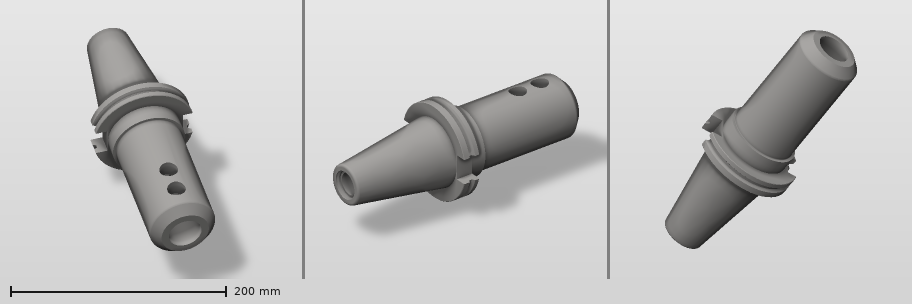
import cadquery as cq

total_length = 254.0
gauge_position = 101.9
flange_start = 103.0
flange_end = 120.7
collar_end = 136.5

gauge_diameter = 69.9
taper_ratio = 7 / 24
small_diameter = gauge_diameter - gauge_position * taper_ratio
large_diameter = small_diameter + flange_start * taper_ratio
flange_diameter = 97.3
collar_diameter = 69.9
body_diameter = 63.5

small_end_fillet = 2.5
flange_chamfer = 0.5
collar_root_fillet = 0.8
nose_chamfer = 9.0
nose_blend_radius = 2.5
edge_pick_margin = 0.3

groove_center = 112.5
groove_floor_width = 2.8
groove_mouth_width = 6.4
groove_depth = 3.0

slot_width = 26.0
slot_floor_front = 35.3
slot_floor_back = 37.5

through_diameter = 21.8
throat_diameter = 26.2
throat_depth = 4.5
recess_diameter = 28.7
recess_depth = 1.5
tool_bore_diameter = 31.8
tool_bore_depth = 81.3

screw_diameter = 17.3
screw_positions = (200.2, 225.5)


def cylinder(diameter, start, end):
    """Solid cylinder on the X axis between two X positions."""
    return cq.Workplane("YZ", origin=(start, 0, 0)).circle(diameter / 2).extrude(end - start)


def make_taper():
    """Conical shank with a rounded small end, reaching the flange."""
    cone = (
        cq.Workplane("XY")
        .polyline([
            (0, 0),
            (0, small_diameter / 2),
            (flange_start, large_diameter / 2),
            (flange_start, 0),
        ])
        .close()
        .revolve(360, (0, 0, 0), (1, 0, 0))
    )
    return cone.faces("<X").edges().fillet(small_end_fillet)


def make_flange():
    """Gripper flange with a V-groove and two drive slots of unequal depth."""
    radius = flange_diameter / 2
    flange = cylinder(flange_diameter, flange_start, flange_end).edges().chamfer(flange_chamfer)
    groove = (
        cq.Workplane("XY")
        .polyline([
            (groove_center - groove_mouth_width / 2, radius),
            (groove_center - groove_floor_width / 2, radius - groove_depth),
            (groove_center + groove_floor_width / 2, radius - groove_depth),
            (groove_center + groove_mouth_width / 2, radius),
        ])
        .close()
        .revolve(360, (0, 0, 0), (1, 0, 0))
    )
    flange = flange.cut(groove)
    for side, floor in ((-1, slot_floor_front), (1, slot_floor_back)):
        slot = cq.Workplane("XY").box(flange_end - flange_start, radius, slot_width)
        slot_center = ((flange_start + flange_end) / 2, side * (floor + radius / 2), 0)
        flange = flange.cut(slot.translate(slot_center))
    return flange


def make_body():
    """Cylindrical tool holder body with a blended nose chamfer."""
    body = cylinder(body_diameter, flange_end, total_length).faces(">X").edges().chamfer(nose_chamfer)
    nose_start = total_length - nose_chamfer
    blend_edge = cq.selectors.BoxSelector(
        (nose_start - edge_pick_margin, -body_diameter, -body_diameter),
        (nose_start + edge_pick_margin, body_diameter, body_diameter),
    )
    return body.edges(blend_edge).fillet(nose_blend_radius)


def make_bores():
    """Through bore, widened end with its countersunk recess, and the tool bore in the nose."""
    bores = cylinder(through_diameter, 0, total_length)
    bores = bores.union(cylinder(throat_diameter, 0, throat_depth))
    bores = bores.union(cylinder(recess_diameter, 0, recess_depth))
    recess_cone = cq.Solid.makeCone(
        recess_diameter / 2,
        throat_diameter / 2,
        (recess_diameter - throat_diameter) / 2,
        cq.Vector(recess_depth, 0, 0),
        cq.Vector(1, 0, 0),
    )
    bores = bores.union(cq.Workplane(recess_cone))
    return bores.union(cylinder(tool_bore_diameter, total_length - tool_bore_depth, total_length))


def make_screw_holes():
    """Radial clamping holes from the top of the body down to the axis."""
    return (
        cq.Workplane("XY")
        .pushPoints([(x, 0) for x in screw_positions])
        .circle(screw_diameter / 2)
        .extrude(body_diameter)
    )


def make_body_with_collar():
    """Body joined to its collar, with a small fillet in the step between them."""
    body = make_body().union(cylinder(collar_diameter, flange_end, collar_end))
    root_radius = body_diameter / 2 + collar_root_fillet
    root_edge = cq.selectors.BoxSelector(
        (collar_end - edge_pick_margin, -root_radius, -root_radius),
        (collar_end + edge_pick_margin, root_radius, root_radius),
        boundingbox=True,
    )
    return body.edges(root_edge).fillet(collar_root_fillet)


result = make_taper().union(make_flange()).union(make_body_with_collar())
result = result.cut(make_bores()).cut(make_screw_holes())